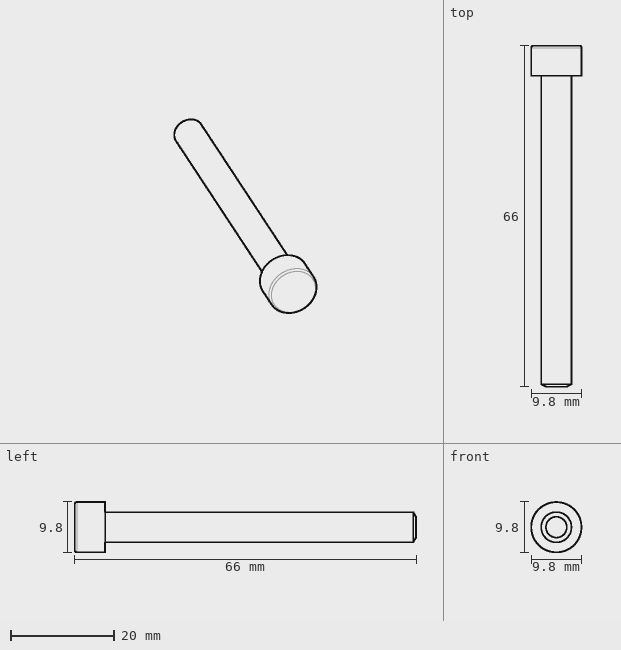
import cadquery as cq

total_length = 66.0
head_diameter = 9.8
head_height = 5.9
head_edge_radius = 0.4
shank_diameter = 5.9
tip_diameter = 4.0
tip_chamfer_length = 0.5

tip_y = -total_length / 2
head_top_y = total_length / 2
head_base_y = head_top_y - head_height
head_radius = head_diameter / 2
shank_radius = shank_diameter / 2

half_section = (
    cq.Workplane("XY")
    .moveTo(0, tip_y)
    .lineTo(tip_diameter / 2, tip_y)
    .lineTo(shank_radius, tip_y + tip_chamfer_length)
    .lineTo(shank_radius, head_base_y)
    .lineTo(head_radius, head_base_y)
    .lineTo(head_radius, head_top_y)
    .lineTo(0, head_top_y)
    .close()
)
screw = half_section.revolve(360, (0, 0, 0), (0, 1, 0))

result = screw.faces(">Y").edges().fillet(head_edge_radius)